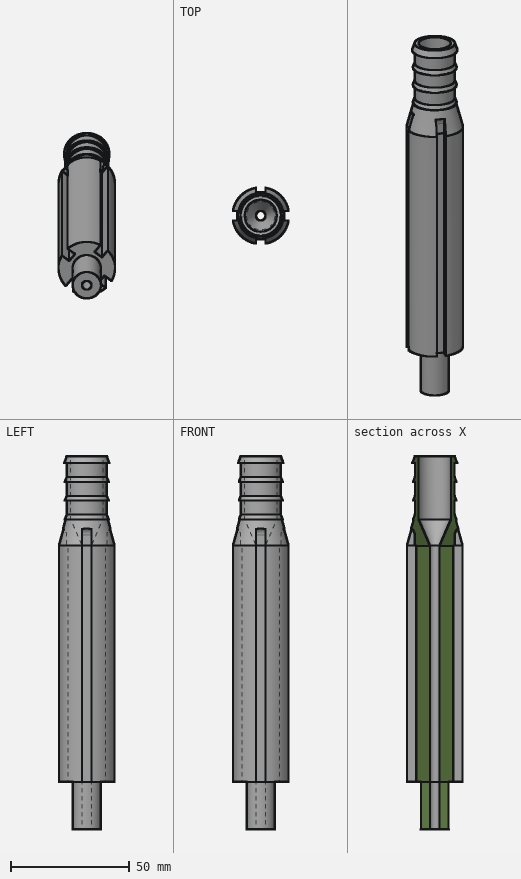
import cadquery as cq

tail_length = 20.0
body_length = 100.0
total_length = 158.0
body_top = tail_length + body_length

through_radius = 4.0 / 2
tail_radius = 12.0 / 2
body_radius = 12.0
bore_radius = 13.6 / 2
neck_radius = 17.0 / 2
cone_top_radius = 9.0
barb_radius = 9.3
lip_radius = 9.6

lip_height = 3.0
barb_height = 2.0
barb_count = 3
cone_height = 11.0
lip_base = total_length - lip_height
cone_top = body_top + cone_height
barb_pitch = (lip_base - cone_top) / barb_count
funnel_top = cone_top
funnel_bottom = body_top

slot_count = 4
slot_width = 4.0
body_slot_floor = 7.9
head_slot_floor = 8.5
slot_end_radius = 3.0
slot_curve_start = body_top + 4.6
slot_outer_radius = body_radius + 1.6


def cylinder(radius, height, base=0.0):
    return cq.Workplane("XY").workplane(offset=base).circle(radius).extrude(height)


def frustum(bottom_radius, top_radius, base, height):
    return cq.Workplane(cq.Solid.makeCone(bottom_radius, top_radius, height, cq.Vector(0, 0, base)))


def cut_slots(body, floor_radius):
    """Cut equally spaced radial slots whose flat floors lie at the given distance from the axis."""
    curve_end_radius = floor_radius + slot_end_radius
    slot_top = slot_curve_start + slot_end_radius
    diagonal = slot_end_radius * 0.5**0.5
    slot = (
        cq.Workplane("XZ")
        .moveTo(floor_radius, tail_length)
        .lineTo(floor_radius, slot_curve_start)
        .threePointArc(
            (curve_end_radius - diagonal, slot_curve_start + diagonal),
            (curve_end_radius, slot_top),
        )
        .lineTo(slot_outer_radius, slot_top)
        .lineTo(slot_outer_radius, tail_length)
        .close()
        .extrude(slot_width / 2, both=True)
    )
    for index in range(slot_count):
        angle = index * 360 / slot_count
        body = body.cut(slot.rotate((0, 0, 0), (0, 0, 1), angle))
    return body


def make_tail():
    """Plain round tube below the main body."""
    return cylinder(tail_radius, tail_length).cut(cylinder(through_radius, tail_length))


def make_main_body():
    """Long slotted cylinder with a central hole."""
    body = cylinder(body_radius, body_length, tail_length)
    body = body.cut(cylinder(through_radius, body_length, tail_length))
    return cut_slots(body, body_slot_floor)


def make_barbed_head():
    """Tapered shoulder carrying a barbed neck, with a bore that funnels into the central hole."""
    head = frustum(body_radius, cone_top_radius, body_top, cone_height)
    head = head.union(cylinder(neck_radius, lip_base - cone_top, cone_top))
    for index in range(barb_count):
        barb_base = cone_top + index * barb_pitch
        head = head.union(frustum(barb_radius, neck_radius, barb_base, barb_height))
    head = head.union(frustum(lip_radius, neck_radius, lip_base, lip_height))
    head = head.cut(cylinder(bore_radius, total_length - funnel_top, funnel_top))
    head = head.cut(frustum(through_radius, bore_radius, funnel_bottom, funnel_top - funnel_bottom))
    return cut_slots(head, head_slot_floor)


tail = make_tail()
main_body = make_main_body()
barbed_head = make_barbed_head()

result = cq.Compound.makeCompound([tail.val(), main_body.val(), barbed_head.val()])